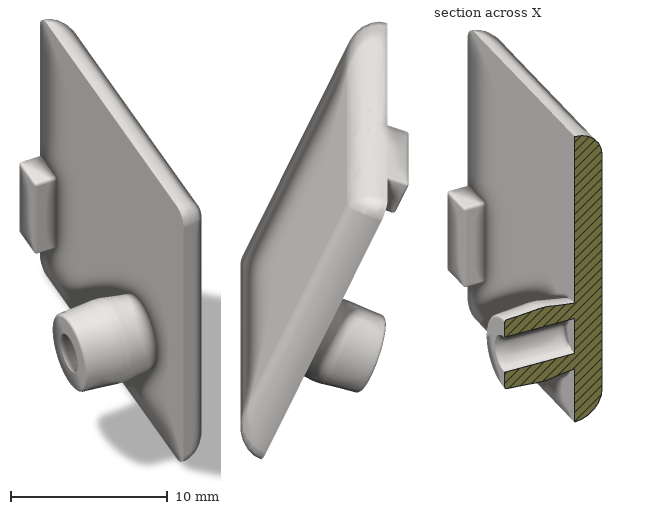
import cadquery as cq
import math

plate_side = 21.5
plate_thickness = 2.0
corner_radius = 1.0
dome_levels = 9
smallest_scale = 0.002

feature_z = -4.25

pin_x = 4.25
pin_length = 5.0
pin_base_radius = 2.5
pin_band_radius = 2.8
pin_tip_radius = 2.6
band_start = 2.0
band_end = 2.5
tip_fillet = 0.2
bore_diameter = 2.6

block_width = 2.5
block_height = 6.0
block_depth = 1.5
block_fillet = 0.2


def plate_section(angle):
    """Rounded square at one angle of the quarter-round, placed at its height."""
    scale = math.cos(angle)
    side = plate_side - 2 * plate_thickness * (1 - scale)
    height = plate_thickness * math.sin(angle)
    outline = cq.Sketch().rect(side, side).vertices().fillet(corner_radius * scale)
    return outline.moved(cq.Location(cq.Vector(0, 0, -height)))


def make_plate():
    """Quarter-round edges whose corner radius fades to nothing at the top."""
    angle_step = math.acos(smallest_scale) / (dome_levels - 1)
    sections = [plate_section(level * angle_step) for level in range(dome_levels)]
    return cq.Workplane("XZ").placeSketch(*sections).loft()


def make_pin():
    """Barrel-shaped pin, revolved about its axis along -Y."""
    profile = (
        cq.Workplane("XY", origin=(pin_x, 0, feature_z))
        .lineTo(pin_base_radius, 0)
        .lineTo(pin_band_radius, -band_start)
        .lineTo(pin_band_radius, -band_end)
        .lineTo(pin_tip_radius, -pin_length)
        .lineTo(0, -pin_length)
        .close()
    )
    pin = profile.revolve(360, (0, 0), (0, 1))
    return pin.faces("<Y").edges().fillet(tip_fillet)


def make_block():
    """Block flush with the -X side of the plate, its free edges rounded."""
    centered = (False, False, True)
    block = cq.Workplane("XY").box(block_width, block_depth, block_height, centered)
    block = block.edges("|Y or <Y").fillet(block_fillet)
    return block.translate((-plate_side / 2, -block_depth, feature_z))


def make_bore():
    """Blind hole running the length of the pin, ending at the plate."""
    start = cq.Workplane("XZ", origin=(pin_x, 0, feature_z))
    return start.circle(bore_diameter / 2).extrude(pin_length)


result = make_plate().union(make_pin()).union(make_block()).cut(make_bore())